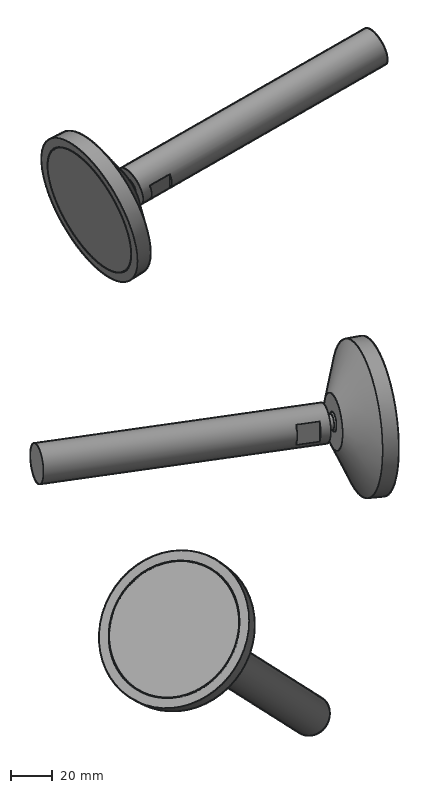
import cadquery as cq
import math

total_length = 170.0

sole_diameter = 78.0
rim_top_diameter = 77.4
rim_height = 8.2
foot_height = 20.0
crown_diameter = 28.2
groove_outer_diameter = 68.0
groove_inner_diameter = 67.5
groove_depth = 1.0

shank_diameter = 20.0
shank_start = 24.6
neck_diameter = 7.8
ball_diameter = 13.6
neck_start = foot_height + 0.8
flats_start = 29.8
flats_length = 11.9
across_flats = 17.0

ball_radius = ball_diameter / 2
neck_radius = neck_diameter / 2
ball_center = neck_start - math.sqrt(ball_radius**2 - neck_radius**2)


def cylinder(diameter, start, end):
    """Cylinder on the Y axis between two Y positions."""
    axis_plane = cq.Workplane("XZ", origin=(0, start, 0))
    return axis_plane.circle(diameter / 2).extrude(start - end)


def make_ball():
    return cq.Workplane("XY").sphere(ball_radius).translate((0, ball_center, 0))


def make_foot():
    """Conical foot with a tapered rim, a ball socket and a ring groove in the sole."""
    profile = [
        (0, 0),
        (sole_diameter / 2, 0),
        (rim_top_diameter / 2, rim_height),
        (crown_diameter / 2, foot_height),
        (0, foot_height),
    ]
    body = cq.Workplane("XY").polyline(profile).close().revolve(360, (0, 0), (0, 1))
    groove = cylinder(groove_outer_diameter, 0, groove_depth).cut(
        cylinder(groove_inner_diameter, 0, groove_depth)
    )
    return body.cut(groove).cut(make_ball())


def make_stud():
    """Round shank with two wrench flats, a thin neck and a ball end."""
    shank = cylinder(shank_diameter, shank_start, total_length)
    flat_depth = (shank_diameter - across_flats) / 2
    flat_offset = (across_flats + flat_depth) / 2
    for side in (-1, 1):
        flat_cut = cq.Workplane("XY").box(flat_depth, flats_length, shank_diameter)
        flat_middle = flats_start + flats_length / 2
        shank = shank.cut(flat_cut.translate((side * flat_offset, flat_middle, 0)))
    neck = cylinder(neck_diameter, ball_center, shank_start)
    return shank.union(neck).union(make_ball())


foot = make_foot()
stud = make_stud()
result = cq.Compound.makeCompound([foot.val(), stud.val()])